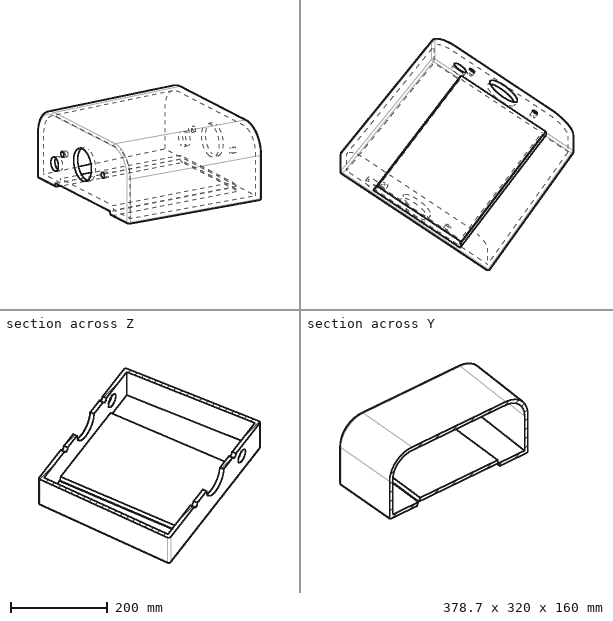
import cadquery as cq

width = 378.7
depth = 320.0
height = 160.0
edge_radius = 5.0

front_width = 360.0
corner_radius = 60.2
side_taper = (width - front_width) / 2 / (depth - edge_radius)
back_width = width + 2 * side_taper * edge_radius

wall = 10.0

main_hole_diameter = 70.0
screw_hole_diameter = 12.0
screw_hole_offset = 80.0
cable_hole_diameter = 30.0
cable_hole_x = -110.2
cable_hole_z = 50.0

channel_height = 9.0
channel_bottom_width = 220.5
channel_top_width = 214.5
floor_rise_inset = 3.8

front_y = -depth / 2
back_y = depth / 2
channel_end_y = back_y - wall


def arched_profile(section_width, bottom, top, radius):
    """Closed XZ outline with a flat base and two rounded upper corners."""
    half = section_width / 2
    bend = radius * (1 - 0.5 ** 0.5)
    shoulder = top - radius
    return (
        cq.Workplane("XZ")
        .moveTo(-half, bottom)
        .lineTo(half, bottom)
        .lineTo(half, shoulder)
        .threePointArc((half - bend, top - bend), (half - radius, top))
        .lineTo(radius - half, top)
        .threePointArc((bend - half, top - bend), (-half, shoulder))
        .close()
        .wires()
        .val()
    )


def tapered_block(inset):
    """Arched block, shrunk on every side by the inset."""
    wires = []
    for y in (front_y + inset, back_y - inset):
        fraction = (y - front_y) / depth
        section_width = front_width + fraction * (back_width - front_width) - 2 * inset
        wire = arched_profile(section_width, inset, height - inset, corner_radius - inset)
        wires.append(wire.translate(cq.Vector(0, y, 0)))
    return cq.Workplane(cq.Solid.makeLoft(wires, True))


def through_hole(x, z, diameter):
    """Cutter that runs through both end walls."""
    return cq.Workplane("XZ", origin=(x, back_y, z)).circle(diameter / 2).extrude(depth)


def channel(raise_by, side_inset):
    """Lengthwise trapezoidal prism, open at the front, with a 45 degree ramp at its rear end."""
    half_bottom = channel_bottom_width / 2 - side_inset
    half_top = channel_top_width / 2 - side_inset
    trapezoid = (
        cq.Workplane("XZ", origin=(0, channel_end_y, raise_by))
        .polyline([
            (-half_bottom, 0),
            (half_bottom, 0),
            (half_top, channel_height),
            (-half_top, channel_height),
        ])
        .close()
        .extrude(channel_end_y - front_y)
    )
    ramped_side = (
        cq.Workplane("YZ", origin=(-half_bottom, 0, raise_by))
        .polyline([
            (front_y, 0),
            (channel_end_y, 0),
            (channel_end_y - channel_height, channel_height),
            (front_y, channel_height),
        ])
        .close()
        .extrude(2 * half_bottom)
    )
    return trapezoid.intersect(ramped_side)


body = tapered_block(0).faces("<Y or >Y or <Z").edges().fillet(edge_radius)

body = body.cut(tapered_block(wall).cut(channel(wall, floor_rise_inset)))

holes = [
    (0, height / 2, main_hole_diameter),
    (-screw_hole_offset, height / 2, screw_hole_diameter),
    (screw_hole_offset, height / 2, screw_hole_diameter),
    (cable_hole_x, cable_hole_z, cable_hole_diameter),
]
for x, z, diameter in holes:
    body = body.cut(through_hole(x, z, diameter))

result = body.cut(channel(0, 0))